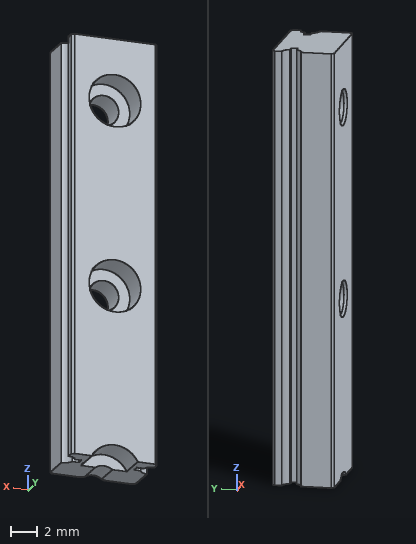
import cadquery as cq

width = 7.0
height = 4.8
length = 34.0
edge_chamfer = 0.2

groove_radius = 0.75
groove_below_top = 1.5
slot_width = 0.5
slot_depth = 1.22

hole_diameter = 2.4
hole_mouth_chamfer = 0.2
counterbore_diameter = 4.2
counterbore_depth = 2.3
hole_pitch = 15.0
first_hole_z = -1.0
hole_count = 3

top_y = height / 2
bottom_y = -height / 2
groove_y = top_y - groove_below_top


def rail_body():
    """Rectangular bar with its four long edges chamfered."""
    bar = cq.Workplane("XY").box(width, height, length, centered=(True, True, False))
    return bar.edges("|Z").chamfer(edge_chamfer)


def side_groove(side):
    """Cutter for the round groove and relief slot on one side (-1 or +1 in X)."""
    face_x = side * width / 2
    groove = cq.Workplane("XY").center(face_x, groove_y).circle(groove_radius).extrude(length)
    slot = cq.Workplane("XY").center(face_x, groove_y).rect(2 * slot_depth, slot_width).extrude(length)
    return groove.union(slot)


def mounting_hole(z):
    """Stepped cutter revolved about the hole axis, which runs along Y."""
    hole_radius = hole_diameter / 2
    counterbore_radius = counterbore_diameter / 2
    shoulder_y = top_y - counterbore_depth
    return (
        cq.Workplane("XY", origin=(0, 0, z))
        .moveTo(0, bottom_y)
        .lineTo(hole_radius + hole_mouth_chamfer, bottom_y)
        .lineTo(hole_radius, bottom_y + hole_mouth_chamfer)
        .lineTo(hole_radius, shoulder_y)
        .lineTo(counterbore_radius, shoulder_y)
        .lineTo(counterbore_radius, top_y)
        .lineTo(0, top_y)
        .close()
        .revolve(360, (0, 0, 0), (0, 1, 0))
    )


result = rail_body()
for side in (-1, 1):
    result = result.cut(side_groove(side))
for index in range(hole_count):
    result = result.cut(mounting_hole(first_hole_z + index * hole_pitch))